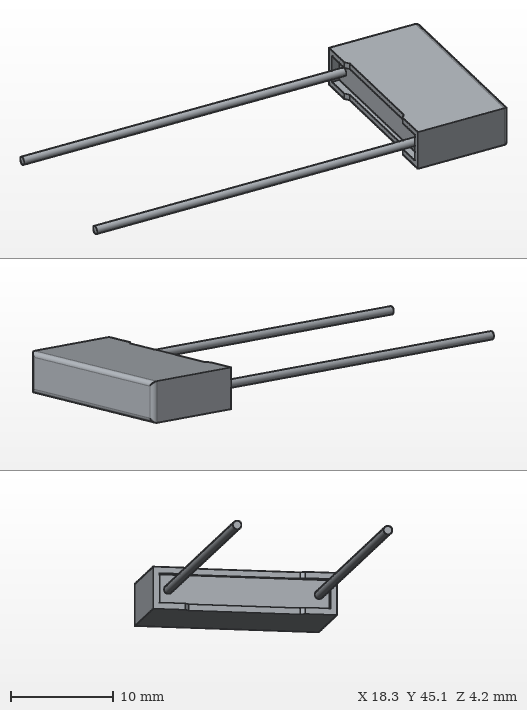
import cadquery as cq

total_length = 45.1
case_width = 18.3
case_depth = 10.1
case_height = 4.2
back_y = total_length / 2
case_front_y = back_y - case_depth
lead_tip_y = -total_length / 2

wall = 0.65
back_radius = 0.5
notch_depth = 0.35
notch_mouth_width = 12.0
notch_floor_width = 11.1

filling_recess = 0.8
lead_diameter = 0.85
lead_spacing = 15.0
filling_front_y = case_front_y + filling_recess
filling_depth = case_depth - wall - filling_recess
lead_length = filling_front_y - lead_tip_y


def block(width, height, front_y, depth):
    """Box centred on X and Z that runs back along +Y from front_y."""
    return cq.Workplane("XY").box(width, depth, height).translate((0, front_y + depth / 2, 0))


def make_rim_notch():
    """Cutter for the shallow flared notch through both broad walls."""
    floor_y = case_front_y + notch_depth
    return (
        cq.Workplane("XY")
        .polyline([
            (-notch_mouth_width / 2, case_front_y),
            (notch_mouth_width / 2, case_front_y),
            (notch_floor_width / 2, floor_y),
            (-notch_floor_width / 2, floor_y),
        ])
        .close()
        .extrude(case_height / 2, both=True)
    )


def make_case():
    """Open box with rounded back edges and a notched front rim."""
    outer = block(case_width, case_height, case_front_y, case_depth)
    outer = outer.faces(">Y").edges().fillet(back_radius)
    cavity = block(
        case_width - 2 * wall, case_height - 2 * wall, case_front_y, case_depth - wall
    )
    return outer.cut(cavity).cut(make_rim_notch())


def make_filling():
    """Block that fills the case up to a front face set back from the rim."""
    return block(case_width - 2 * wall, case_height - 2 * wall, filling_front_y, filling_depth)


def make_lead(x):
    """Straight round wire from the filling's front face to the tip."""
    return (
        cq.Workplane("XZ", origin=(x, filling_front_y, 0))
        .circle(lead_diameter / 2)
        .extrude(lead_length)
    )


case = make_case()
filling = make_filling()
leads = [make_lead(side * lead_spacing / 2) for side in (-1, 1)]

result = cq.Compound.makeCompound([case.val(), filling.val(), *[lead.val() for lead in leads]])